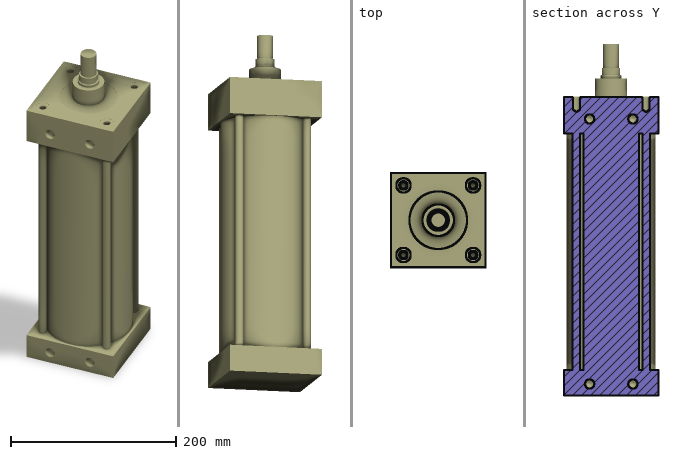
import cadquery as cq
import math

TOTAL_HEIGHT = 425.5
HEAD_SIDE = 114.5

CAP_HEIGHT = 32.0
HEAD_BOTTOM_Z = 317.5
HEAD_TOP_Z = 362.0
BOSS_TOP_Z = 384.0
ROD_SHOULDER_Z = 388.0
NECK_TOP_Z = 396.5

BARREL_DIAMETER = 108.0
BOSS_DIAMETER = 38.5
GLAND_SEAT_DIAMETER = 69.8
NUT_SEAT_DIAMETER = 17.5
SEAT_DEPTH = 0.2

TIE_ROD_DIAMETER = 9.8
TIE_ROD_SPACING = 84.2

PORT_SPACING = 52.5
PORT_DIAMETER = 10.5
PORT_MOUTH_DIAMETER = 12.8
PORT_DEPTH = 19.0
CAP_PORT_Z = 14.5
HEAD_PORT_Z = 335.3

TIE_HOLE_DIAMETER = 8.0
TIE_HOLE_MOUTH_DIAMETER = 10.0
TIE_HOLE_DEPTH = 15.5
DRILL_POINT_ANGLE = 118.0

ROD_DIAMETER = 25.5
NECK_DIAMETER = 23.5
ROD_END_DIAMETER = 19.0
FLATS_WIDTH = 21.5


def tapped_hole(diameter, mouth_diameter, depth):
    """Cutter with its mouth at the origin, going down: 45 degree mouth, bore and drill point."""
    radius = diameter / 2
    mouth_radius = mouth_diameter / 2
    mouth_depth = mouth_radius - radius
    point_height = radius / math.tan(math.radians(DRILL_POINT_ANGLE / 2))
    return (
        cq.Workplane("XZ")
        .moveTo(0, 0)
        .lineTo(mouth_radius, 0)
        .lineTo(radius, -mouth_depth)
        .lineTo(radius, -depth)
        .lineTo(0, -depth - point_height)
        .close()
        .revolve(360, (0, 0, 0), (0, 1, 0))
    )


def square_block(bottom_z, top_z):
    return (
        cq.Workplane("XY")
        .workplane(offset=bottom_z)
        .rect(HEAD_SIDE, HEAD_SIDE)
        .extrude(top_z - bottom_z)
    )


def cylinder(diameter, bottom_z, top_z):
    return cq.Workplane("XY").workplane(offset=bottom_z).circle(diameter / 2).extrude(top_z - bottom_z)


def tie_rod_points():
    half = TIE_ROD_SPACING / 2
    return [(x, y) for x in (-half, half) for y in (-half, half)]


def make_housing():
    """End blocks, barrel, tie rods and rod boss in one solid."""
    body = square_block(0, CAP_HEIGHT).union(square_block(HEAD_BOTTOM_Z, HEAD_TOP_Z))
    body = body.union(cylinder(BARREL_DIAMETER, CAP_HEIGHT, HEAD_BOTTOM_Z))
    for x, y in tie_rod_points():
        tie_rod = cylinder(TIE_ROD_DIAMETER, CAP_HEIGHT, HEAD_BOTTOM_Z)
        body = body.union(tie_rod.translate((x, y, 0)))

    seat_z = HEAD_TOP_Z - SEAT_DEPTH
    body = body.cut(cylinder(GLAND_SEAT_DIAMETER, seat_z, HEAD_TOP_Z))
    nut_seat = cylinder(NUT_SEAT_DIAMETER, seat_z, HEAD_TOP_Z)
    tie_hole = tapped_hole(TIE_HOLE_DIAMETER, TIE_HOLE_MOUTH_DIAMETER, TIE_HOLE_DEPTH)
    for x, y in tie_rod_points():
        body = body.cut(nut_seat.translate((x, y, 0)))
        body = body.cut(tie_hole.translate((x, y, seat_z)))

    port = tapped_hole(PORT_DIAMETER, PORT_MOUTH_DIAMETER, PORT_DEPTH).rotate((0, 0, 0), (1, 0, 0), 90)
    for x in (-PORT_SPACING / 2, PORT_SPACING / 2):
        for z in (CAP_PORT_Z, HEAD_PORT_Z):
            body = body.cut(port.translate((x, -HEAD_SIDE / 2, z)))

    body = body.union(cylinder(BOSS_DIAMETER, seat_z, BOSS_TOP_Z))
    return body.cut(cylinder(ROD_DIAMETER, HEAD_BOTTOM_Z, BOSS_TOP_Z))


def make_piston_rod():
    """Chamfered rod, neck with two wrench flats, and a thinner end."""
    chamfer = (ROD_DIAMETER - NECK_DIAMETER) / 2
    rod = cylinder(ROD_DIAMETER, HEAD_BOTTOM_Z, ROD_SHOULDER_Z).faces(">Z").edges().chamfer(chamfer)
    neck_height = NECK_TOP_Z - ROD_SHOULDER_Z
    between_flats = (
        cq.Workplane("XY")
        .workplane(offset=ROD_SHOULDER_Z)
        .rect(FLATS_WIDTH, NECK_DIAMETER)
        .extrude(neck_height)
    )
    neck = cylinder(NECK_DIAMETER, ROD_SHOULDER_Z, NECK_TOP_Z).intersect(between_flats)
    rod_end = cylinder(ROD_END_DIAMETER, NECK_TOP_Z, TOTAL_HEIGHT)
    return rod.union(neck).union(rod_end)


housing = make_housing()
piston_rod = make_piston_rod()

result = cq.Compound.makeCompound([housing.val(), piston_rod.val()])